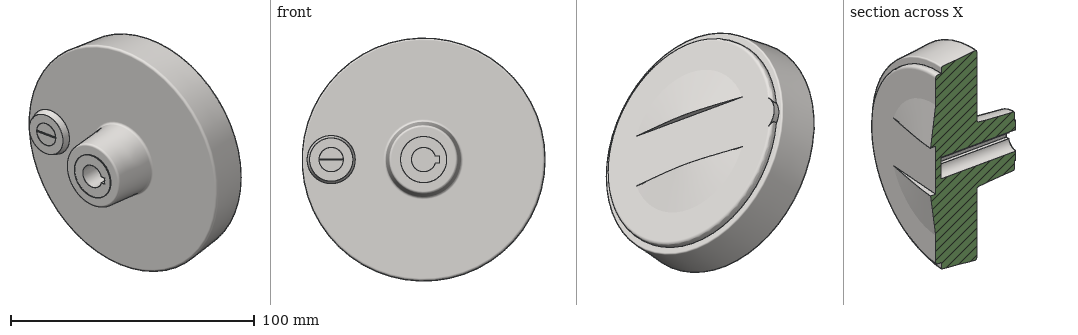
import cadquery as cq


rim_front_radius = 50.0
rim_back_radius = 48.1
rim_depth = 18.4
rim_front_fillet = 1.0
rim_back_fillet = 0.7

cover_radius = 45.0
cover_back = 21.3
cover_fillet = 1.5
latch_radius = 8.2

crown_base_radius = 30.9
crown_gap_half = 11.3
crown_height = 2.6

hub_base_radius = 15.5
hub_end_radius = 14.0
hub_length = 19.3
hub_end_fillet = 0.9
hub_root_fillet = 1.0

bush_radius = 9.5
bush_length = 19.8
bore_radius = 5.0
bore_depth = bush_length + rim_depth
keyway_width = 2.8
keyway_reach = 6.5

handle_x = -37.9
handle_base_radius = 9.9
handle_end_radius = 8.9
handle_length = 3.0
screw_radius = 5.0
screw_recess = 0.1
screw_slot_length = 10.2
screw_slot_width = 0.5
screw_slot_depth = 1.0


def cylinder(radius, start, end, x=0):
    """Cylinder along Y from y = start to y = end."""
    return cq.Workplane("XZ", origin=(x, start, 0)).circle(radius).extrude(start - end)


def cone(start_radius, end_radius, start, end, x=0):
    """Truncated cone along Y with a given radius at each end."""
    profile = [(x, start), (x + start_radius, start), (x + end_radius, end), (x, end)]
    return cq.Workplane("XY").polyline(profile).close().revolve(360, (x, 0), (x, 1))


def box(size_x, size_z, start, end, x=0):
    """Block from y = start to y = end, centred at x and on z = 0."""
    return cq.Workplane("XZ", origin=(x, start, 0)).rect(size_x, size_z).extrude(start - end)


def make_rim():
    rim = cone(rim_front_radius, rim_back_radius, 0, rim_depth)
    rim = rim.faces("<Y").edges().fillet(rim_front_fillet)
    return rim.faces(">Y").edges().fillet(rim_back_fillet)


def make_cover():
    cover = cylinder(cover_radius, rim_depth, cover_back)
    cover = cover.faces(">Y").edges().fillet(cover_fillet)
    latch = cylinder(latch_radius, rim_depth, cover_back, handle_x)
    return cover.union(latch)


def make_crown():
    crown_back = cover_back + crown_height
    crown = cone(crown_base_radius, crown_gap_half, cover_back, crown_back)
    gap = box(2 * crown_base_radius, 2 * crown_gap_half, cover_back, crown_back)
    return crown.cut(gap)


def make_hub():
    hub = cone(hub_base_radius, hub_end_radius, 0, -hub_length)
    hub = hub.faces("<Y").edges().fillet(hub_end_fillet)
    bush = cylinder(bush_radius, 0, -bush_length)
    return hub.union(bush)


def make_bore():
    bore_end = bore_depth - bush_length
    bore = cylinder(bore_radius, -bush_length, bore_end)
    keyway = box(keyway_reach, keyway_width, -bush_length, bore_end, keyway_reach / 2)
    return bore.union(keyway)


def make_screw_recess():
    recess = cylinder(screw_radius, -handle_length, screw_recess - handle_length, handle_x)
    slot_end = screw_slot_depth - handle_length
    slot = box(screw_slot_length, screw_slot_width, -handle_length, slot_end, handle_x)
    return recess.union(slot)


def fillet_hub_root(wheel):
    """Round the inner edge of the rim's front face, where the hub meets it."""
    front_face = wheel.faces(cq.selectors.NearestToPointSelector((rim_front_radius / 2, 0, 0)))
    root_edges = front_face.edges(cq.selectors.RadiusNthSelector(0)).vals()
    return wheel.newObject(root_edges).fillet(hub_root_fillet)


wheel = fillet_hub_root(make_rim().union(make_hub()))

handle_boss = cone(handle_base_radius, handle_end_radius, 0, -handle_length, handle_x)
wheel = wheel.union(make_cover()).union(make_crown()).union(handle_boss)

result = wheel.cut(make_bore()).cut(make_screw_recess())